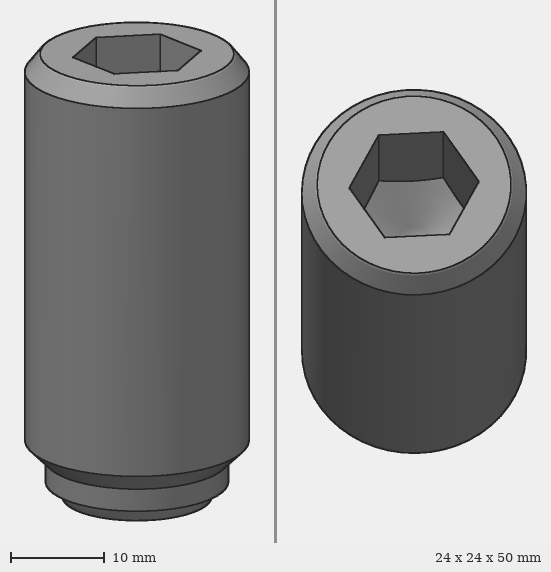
import cadquery as cq
import math

total_height = 50.0
body_radius = 12.0

top_bevel_height = 2.0
top_bevel_radius = 10.55
edge_break_height = 0.15
top_face_radius = 10.35

collar_radius = 9.8
collar_bottom = 1.7
collar_height = 2.5
collar_top = collar_bottom + collar_height
lower_bevel_top = collar_top + body_radius - collar_radius

hex_across_flats = 12.0
hex_corner_radius = hex_across_flats / math.sqrt(3)
socket_depth = 12.0
floor_cone_angle = 120.0
floor_cone_height = hex_corner_radius / math.tan(math.radians(floor_cone_angle / 2))

ball_radius = 8.9
thrust_face_radius = 8.0
ball_center_height = math.sqrt(ball_radius**2 - thrust_face_radius**2)


def make_ball():
    """Sphere cut flat at Z = 0."""
    sphere = cq.Workplane("XY").sphere(ball_radius).translate((0, 0, ball_center_height))
    below_face = cq.Workplane("XY").circle(body_radius).extrude(-total_height)
    return sphere.cut(below_face)


def make_blank():
    """Turned outer shape of the screw."""
    return (
        cq.Workplane("XZ")
        .moveTo(0, collar_bottom)
        .lineTo(collar_radius, collar_bottom)
        .lineTo(collar_radius, collar_top)
        .lineTo(body_radius, lower_bevel_top)
        .lineTo(body_radius, total_height - top_bevel_height)
        .lineTo(top_bevel_radius, total_height - edge_break_height)
        .lineTo(top_face_radius, total_height)
        .lineTo(0, total_height)
        .close()
        .revolve(360, (0, 0, 0), (0, 1, 0))
    )


def make_hex_socket():
    """Hexagonal cavity whose floor is a cone through the hexagon corners."""
    corner_level = total_height - socket_depth
    apex_level = corner_level - floor_cone_height
    pointed_bore = (
        cq.Workplane("XZ")
        .moveTo(0, apex_level)
        .lineTo(hex_corner_radius, corner_level)
        .lineTo(hex_corner_radius, total_height)
        .lineTo(0, total_height)
        .close()
        .revolve(360, (0, 0, 0), (0, 1, 0))
    )
    hexagon = (
        cq.Workplane("XY")
        .workplane(offset=apex_level)
        .polygon(6, 2 * hex_corner_radius)
        .extrude(total_height - apex_level)
    )
    return hexagon.intersect(pointed_bore)


ball = make_ball()
screw = make_blank().cut(make_hex_socket()).cut(ball)

result = cq.Compound.makeCompound([screw.solids().val(), ball.solids().val()])